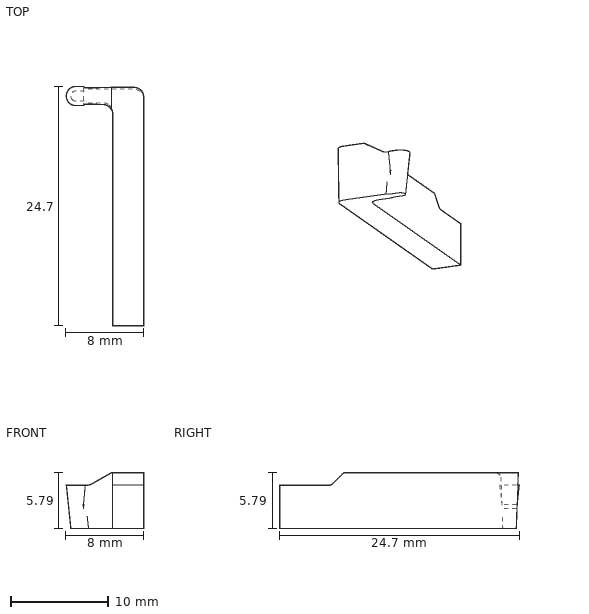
import cadquery as cq
import math


shank_height = 5.79
shank_width = 3.2
shank_left = 3.8
shank_right = shank_left + shank_width
overall_length = 24.7
corner_radius = 1.0
step_height = 4.5
step_foot_length = 5.33
step_rise = shank_height - step_height
step_crest_radius = 0.3
step_foot_radius = 0.5

tip_height = step_height
tip_radius = 1.0
tip_draft = math.tan(math.radians(6))
shank_back = tip_radius - overall_length

neck_half_width = 0.86
neck_draft = math.tan(math.radians(2))
neck_fillet_radius = 1.0
neck_start = 0.81
flare_radius = 0.8

shoulder_start_top = 0.59
shoulder_end_top = 0.97
shoulder_start_low = 0.77
shoulder_drop_low = 0.02
crossing_depth = (tip_radius - neck_half_width) / (tip_draft - neck_draft)
crossing_height = tip_height - crossing_depth

ramp_angle = math.radians(29.5)
ramp_foot = 1.41
ramp_foot_radius = 1.0
cut_half_depth = neck_half_width + 2 * neck_fillet_radius


def tip_half_width(z):
    """Half width of the tip at height z."""
    return tip_radius - tip_draft * (tip_height - z)


def neck_half_width_at(z):
    """Half width of the neck at height z; neck_half_width applies at the tip's top."""
    return neck_half_width - neck_draft * (tip_height - z)


def shoulder_start_at(z):
    """X of the flank end, which moves toward the shank further down."""
    slope = (shoulder_start_low - shoulder_start_top) / crossing_depth
    return shoulder_start_top + slope * (tip_height - z)


def make_shank():
    """Bar with a drafted nose, a rounded nose corner and a 45 degree step at the back."""
    step_foot = shank_back + step_foot_length
    step_crest = step_foot + step_rise
    bar = (
        cq.Workplane("YZ", origin=(shank_left, 0, 0))
        .moveTo(shank_back, 0)
        .lineTo(neck_half_width_at(0), 0)
        .lineTo(neck_half_width_at(shank_height), shank_height)
        .lineTo(step_crest, shank_height)
        .lineTo(step_foot, step_height)
        .lineTo(shank_back, step_height)
        .close()
        .extrude(shank_width)
    )
    middle = shank_left + shank_width / 2
    bar = bar.edges(cq.NearestToPointSelector((middle, step_crest, shank_height))).fillet(step_crest_radius)
    bar = bar.edges(cq.NearestToPointSelector((middle, step_foot, step_height))).fillet(step_foot_radius)
    nose_middle = (shank_right, neck_half_width_at(shank_height / 2), shank_height / 2)
    return bar.edges(cq.NearestToPointSelector(nose_middle)).fillet(corner_radius)


def ruled_loft(lower, upper):
    """Solid with straight lines between two matching sections."""
    return cq.Workplane(obj=cq.Solid.makeLoft([lower, upper], True))


def make_neck():
    """Full-height neck slab with both sides drafted."""
    foot = neck_half_width_at(0)
    crest = neck_half_width_at(shank_height)
    return (
        cq.Workplane("YZ", origin=(neck_start, 0, 0))
        .polyline([(-foot, 0), (foot, 0), (crest, shank_height), (-crest, shank_height)])
        .close()
        .extrude(shank_left - neck_start)
    )


def flare_section(z):
    """Section that leaves the tip flanks tangentially and opens out along two concave arcs."""
    near = tip_half_width(z)
    far = near + flare_radius
    flare_end = neck_start + flare_radius
    bend = flare_radius * math.sin(math.pi / 4)
    bend_x = neck_start + bend
    bend_y = far - bend
    return (
        cq.Workplane("XY", origin=(0, 0, z))
        .moveTo(neck_start, -near)
        .threePointArc((bend_x, -bend_y), (flare_end, -far))
        .lineTo(shank_left, -far)
        .lineTo(shank_left, far)
        .lineTo(flare_end, far)
        .threePointArc((bend_x, bend_y), (neck_start, near))
        .close()
        .val()
    )


def tip_section(z):
    """Round nose and parallel flanks, cut square where the shoulders start."""
    half = tip_half_width(z)
    end = shoulder_start_at(z)
    return (
        cq.Workplane("XY", origin=(0, 0, z))
        .moveTo(end, half)
        .lineTo(0, half)
        .threePointArc((-half, 0), (0, -half))
        .lineTo(end, -half)
        .close()
        .val()
    )


def shoulder_section(z, end, drop):
    """Section closing the flanks with two convex arcs that fall by drop at the end."""
    half = tip_half_width(z)
    start = shoulder_start_at(z)
    run = end - start
    radius = (run**2 + drop**2) / (2 * drop)
    half_sweep = math.atan2(drop, run)
    bend_x = start + radius * math.sin(half_sweep)
    bend_y = half - radius * (1 - math.cos(half_sweep))
    return (
        cq.Workplane("XY", origin=(0, 0, z))
        .moveTo(start, -half)
        .threePointArc((bend_x, -bend_y), (end, -half + drop))
        .lineTo(end, half - drop)
        .threePointArc((bend_x, bend_y), (start, half))
        .close()
        .val()
    )


def make_tip():
    """Conical tip; below the shoulders its flanks end inside the flare."""
    return ruled_loft(tip_section(0), tip_section(tip_height))


def make_shoulders():
    """Wedge between tip and neck that fades out where both are equally wide."""
    return ruled_loft(
        shoulder_section(crossing_height, neck_start, shoulder_drop_low),
        shoulder_section(tip_height, shoulder_end_top, tip_radius - neck_half_width),
    )


def ramp_cutter():
    """Everything above the tip and the ramp, with the ramp foot rounded."""
    ramp_crest = ramp_foot + step_rise / math.tan(ramp_angle)
    depth = 2 * cut_half_depth
    cutter = (
        cq.Workplane("XZ", origin=(0, cut_half_depth, 0))
        .polyline([
            (-tip_radius, tip_height),
            (ramp_foot, tip_height),
            (ramp_crest, shank_height),
            (-tip_radius, shank_height),
        ])
        .close()
        .extrude(depth)
    )
    return cutter.edges(cq.NearestToPointSelector((ramp_foot, 0, tip_height))).fillet(ramp_foot_radius)


flare = ruled_loft(flare_section(0), flare_section(shank_height))
neck = make_neck().intersect(flare)
body = make_shank().union(neck)
inner_corner = (shank_left, -neck_half_width_at(shank_height / 2), shank_height / 2)
body = body.edges(cq.NearestToPointSelector(inner_corner)).fillet(neck_fillet_radius)
body = body.cut(ramp_cutter())
result = body.union(make_tip()).union(make_shoulders())